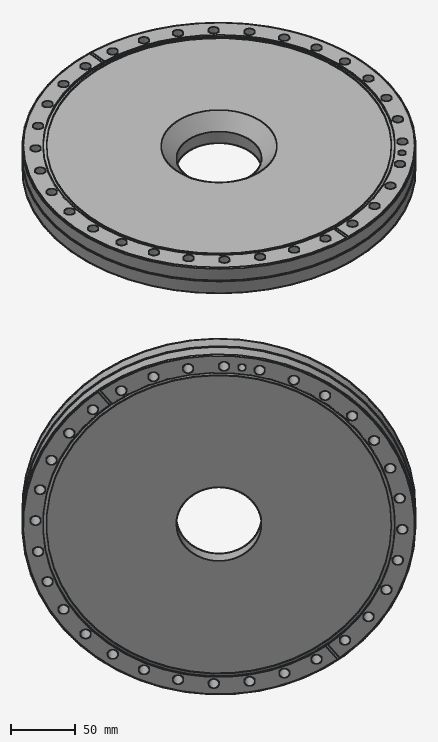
import cadquery as cq

flange_diameter = 304.8
flange_thickness = 26.0
edge_chamfer = 1.0
flange_radius = flange_diameter / 2
half_thickness = flange_thickness / 2

rim_groove_width = 1.0
rim_groove_depth = 0.3

recess_radius = 136.2
recess_depth = 1.5
knife_radius = 133.5
knife_tip_depth = 0.5
inner_face_depth = 1.2

bore_radius = 33.0
cone_radius = 44.8

bolt_count = 32
bolt_circle_radius = 142.0
bolt_hole_diameter = 8.2
bolt_spacing = 360 / bolt_count
small_hole_diameter = 6.0
small_hole_angle = 4.5 * bolt_spacing

leak_groove_width = 2.0
leak_groove_depth = 0.5
leak_groove_radius = (leak_groove_width**2 / 4 + leak_groove_depth**2) / (2 * leak_groove_depth)
leak_groove_angles = (bolt_spacing / 2, 180 + bolt_spacing / 2)


def disc():
    """Chamfered plain disc centred on the origin."""
    return (
        cq.Workplane("XY")
        .circle(flange_radius)
        .extrude(half_thickness, both=True)
        .edges()
        .chamfer(edge_chamfer)
    )


def rim_groove():
    """Ring that cuts the groove around the middle of the rim."""
    return (
        cq.Workplane("XY")
        .circle(flange_radius + rim_groove_depth)
        .circle(flange_radius - rim_groove_depth)
        .extrude(rim_groove_width / 2, both=True)
    )


def seal_recess():
    """Revolved cutter that leaves a knife edge inside the rim of the top face."""
    profile = [
        (0, half_thickness),
        (recess_radius, half_thickness),
        (recess_radius, half_thickness - recess_depth),
        (knife_radius, half_thickness - knife_tip_depth),
        (knife_radius, half_thickness - inner_face_depth),
        (0, half_thickness - inner_face_depth),
    ]
    return cq.Workplane("XZ").polyline(profile).close().revolve(360, (0, 0), (0, 1))


def leak_groove(angle):
    """Radial cylinder grazing the top face, from the seal recess out past the rim."""
    start_radius = (knife_radius + recess_radius) / 2
    axis_height = half_thickness - leak_groove_depth + leak_groove_radius
    return (
        cq.Workplane("YZ", origin=(start_radius, 0, axis_height))
        .circle(leak_groove_radius)
        .extrude(flange_radius + leak_groove_width - start_radius)
        .rotate((0, 0, 0), (0, 0, 1), angle)
    )


def central_opening():
    """Cone from the top inner face down to a bore through the bottom."""
    inner_face = half_thickness - inner_face_depth
    cone_bottom = inner_face - (cone_radius - bore_radius)
    profile = [
        (0, -half_thickness),
        (bore_radius, -half_thickness),
        (bore_radius, cone_bottom),
        (cone_radius, inner_face),
        (0, inner_face),
    ]
    return cq.Workplane("XZ").polyline(profile).close().revolve(360, (0, 0), (0, 1))


def rim_holes(diameter, first_angle, count):
    """Through holes spread evenly around the bolt circle."""
    return (
        cq.Workplane("XY")
        .polarArray(bolt_circle_radius, first_angle, 360, count)
        .circle(diameter / 2)
        .extrude(half_thickness, both=True)
    )


top_face_cuts = [seal_recess()]
for groove_angle in leak_groove_angles:
    top_face_cuts.append(leak_groove(groove_angle))

result = disc().cut(rim_groove())
for face_cut in top_face_cuts:
    result = result.cut(face_cut).cut(face_cut.mirror("XY"))

result = result.cut(central_opening())
result = result.cut(rim_holes(bolt_hole_diameter, 0, bolt_count))
result = result.cut(rim_holes(small_hole_diameter, small_hole_angle, 1))